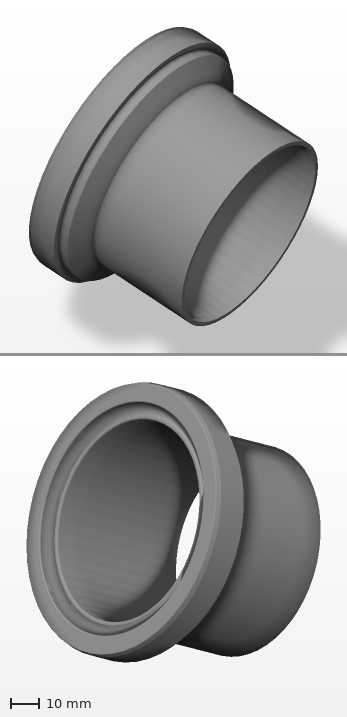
import cadquery as cq

total_length = 61.0
rim_taper_length = 2.0
flange_length = 12.0
shoulder_end = 15.7
cone_end = 20.8

flange_diameter = 98.9
rim_front_diameter = 97.7
shoulder_diameter = 93.0
tube_diameter = 76.2
bore_diameter = 72.9

groove_outer_diameter = 83.3
lip_outer_diameter = 75.6
lip_recess = 3.3
groove_bottom_depth = 4.1
groove_bottom_diameter = 78.3

rim_round = 0.4
groove_mouth_round = 0.5
lip_outer_round = 0.3
lip_bore_round = 0.7


def circle_edge(diameter, x):
    """Select the full circular edge of this diameter lying at this X."""
    half = diameter / 2
    slack = 0.01
    return cq.selectors.BoxSelector(
        (x - slack, -half - slack, -half - slack),
        (x + slack, half + slack, half + slack),
        boundingbox=True,
    ) - cq.selectors.BoxSelector(
        (x - slack, -half + slack, -half + slack),
        (x + slack, half - slack, half - slack),
        boundingbox=True,
    )


section = (
    cq.Workplane("XY")
    .moveTo(0, groove_outer_diameter / 2)
    .lineTo(0, rim_front_diameter / 2)
    .lineTo(rim_taper_length, flange_diameter / 2)
    .lineTo(flange_length, flange_diameter / 2)
    .lineTo(flange_length, shoulder_diameter / 2)
    .lineTo(shoulder_end, shoulder_diameter / 2)
    .lineTo(cone_end, tube_diameter / 2)
    .lineTo(total_length, tube_diameter / 2)
    .lineTo(total_length, bore_diameter / 2)
    .lineTo(lip_recess, bore_diameter / 2)
    .lineTo(lip_recess, lip_outer_diameter / 2)
    .threePointArc(
        (groove_bottom_depth, groove_bottom_diameter / 2),
        (0, groove_outer_diameter / 2),
    )
    .close()
)
body = section.revolve(360, (0, 0, 0), (1, 0, 0))

body = body.edges(circle_edge(rim_front_diameter, 0)).fillet(rim_round)
body = body.edges(circle_edge(groove_outer_diameter, 0)).fillet(groove_mouth_round)
body = body.edges(circle_edge(lip_outer_diameter, lip_recess)).fillet(lip_outer_round)
result = body.edges(circle_edge(bore_diameter, lip_recess)).fillet(lip_bore_round)